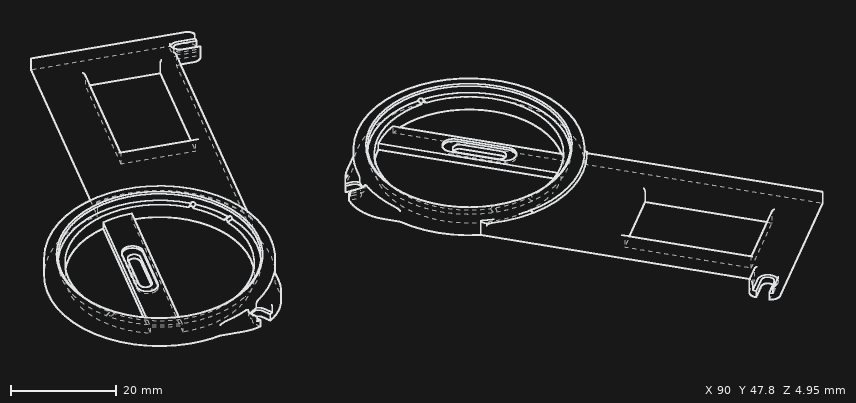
import cadquery as cq
import math

ring_diameter = 44.0
ring_height = 4.95
ring_edge_radius = 1.0
lens_diameter = 38.6
opening_diameter = 36.0
lens_seat_z = 3.1
lens_lead_in = 0.315

seat_rib_radius = 0.45
seat_rib_angles = [120.0, 145.0, 314.0]

overall_length = 90.0
overall_width = 47.8
plate_left = ring_diameter / 2 - overall_length
plate_front = -6.5
plate_back = 20.5
plate_thickness = 3.0
lug_right = 21.15
lug_corner_radius = 10.0
edge_radius = 0.495
ring_root_radius = 0.45

window_length = 24.9
window_width = 14.8
window_x = -47.8
window_y = 9.5

bar_width = 6.0
bar_thickness = 1.5
bar_slot_x = -1.1
bar_slot_y = plate_front + 2.9
bar_slot_length = 10.4
bar_slot_width = 2.5
bar_recess_length = 14.5
bar_recess_width = 4.1
bar_recess_depth = 0.495

tab_width = 6.1
tab_back = overall_width - ring_diameter / 2
tab_corner_radius = 1.8
screw_slot_width = 2.5
screw_head_width = 4.0
screw_seat_z = 1.5
tab_slot_x = -65.0
tab_slot_y = 22.1
lug_slot_distance = 23.5
lug_slot_angle = 37.8
slot_reach = 9.0

mid_wall_diameter = (lens_diameter + ring_diameter) / 2


def box_between(x_min, x_max, y_min, y_max):
    """Block of plate thickness standing on Z = 0 between the given limits."""
    corner = cq.Workplane("XY", origin=(x_min, y_min, 0))
    return corner.box(x_max - x_min, y_max - y_min, plate_thickness, centered=False)


def disc(diameter, z_bottom, z_top):
    """Upright cylinder on the ring axis."""
    return cq.Workplane("XY", origin=(0, 0, z_bottom)).circle(diameter / 2).extrude(z_top - z_bottom)


def open_slot(width, z_bottom, x, y, angle):
    """Cutter with a round end at (x, y), running outwards along the angle."""
    height = plate_thickness - z_bottom
    run = cq.Workplane("XY").box(slot_reach, width, height, centered=(False, True, False))
    end = cq.Workplane("XY").circle(width / 2).extrude(height)
    return run.union(end).rotate((0, 0, 0), (0, 0, 1), angle).translate((x, y, z_bottom))


def cut_screw_slot(plate, x, y, angle):
    """Cut a through slot with a wider seat for the screw head."""
    plate = plate.cut(open_slot(screw_slot_width, 0, x, y, angle))
    return plate.cut(open_slot(screw_head_width, screw_seat_z, x, y, angle))


def make_plate():
    """Plate, tab and lug with window and screw slots, all upper edges rounded."""
    plate = box_between(plate_left, 0, plate_front, plate_back)
    tab = box_between(plate_left, plate_left + tab_width, plate_front, tab_back)
    tab = tab.edges("|Z and >Y").fillet(tab_corner_radius)
    lug = box_between(0, lug_right, 0, plate_back)
    lug = lug.edges("|Z and >X and >Y").fillet(lug_corner_radius)
    plate = plate.union(tab).union(lug)

    window = cq.Workplane("XY").center(window_x, window_y).rect(window_length, window_width)
    plate = plate.cut(window.extrude(plate_thickness))

    lug_slot_x = lug_slot_distance * math.cos(math.radians(lug_slot_angle))
    lug_slot_y = lug_slot_distance * math.sin(math.radians(lug_slot_angle))
    plate = cut_screw_slot(plate, tab_slot_x, tab_slot_y, 90)
    plate = cut_screw_slot(plate, lug_slot_x, lug_slot_y, lug_slot_angle)
    return plate.faces(">Z").edges().fillet(edge_radius)


def make_ring_root():
    """Concave fillet where the ring rises from the plate, on the window side only."""
    inner = ring_diameter / 2 - ring_root_radius
    wall = ring_diameter / 2
    outer = wall + ring_root_radius
    bottom = plate_thickness - edge_radius
    top = plate_thickness + ring_root_radius
    arc_offset = ring_root_radius * (1 - math.sqrt(0.5))
    profile = (
        cq.Workplane("XZ")
        .moveTo(inner, bottom)
        .lineTo(outer, bottom)
        .lineTo(outer, plate_thickness)
        .threePointArc((wall + arc_offset, plate_thickness + arc_offset), (wall, top))
        .lineTo(inner, top)
        .close()
    )
    collar = profile.revolve(360, (0, 0, 0), (0, 1, 0))
    plate_zone = box_between(plate_left, 0, plate_front, plate_back)
    return collar.intersect(plate_zone.translate((0, 0, bottom)))


def make_seat_rib(angle):
    """Radial half-round rib lying on the lens seat and running into the ring wall."""
    rib = cq.Workplane("YZ", origin=(0, 0, lens_seat_z)).circle(seat_rib_radius)
    rib = rib.extrude(mid_wall_diameter / 2).rotate((0, 0, 0), (0, 0, 1), angle)
    return rib.cut(disc(opening_diameter, 0, ring_height))


def make_bar():
    """Cross bar spanning the ring opening, with a slot in a shallow recess."""
    blank = cq.Workplane("XY", origin=(-ring_diameter / 2, plate_front, 0))
    bar = blank.box(ring_diameter, bar_width, bar_thickness, centered=False)
    bar = bar.intersect(disc(mid_wall_diameter, 0, bar_thickness))
    slot_centre = cq.Workplane("XY").center(bar_slot_x, bar_slot_y)
    slot = slot_centre.slot2D(bar_slot_length, bar_slot_width).extrude(bar_thickness)
    recess = slot_centre.slot2D(bar_recess_length, bar_recess_width).extrude(bar_recess_depth)
    return bar.cut(slot).cut(recess.translate((0, 0, bar_thickness - bar_recess_depth)))


plate = make_plate()
ring = disc(ring_diameter, 0, ring_height).faces(">Z").edges().fillet(ring_edge_radius)
body = plate.union(ring).union(make_ring_root())

body = body.cut(disc(opening_diameter, 0, ring_height))
body = body.cut(disc(lens_diameter, lens_seat_z, ring_height))
lead_in = (
    cq.Workplane("XY", origin=(0, 0, ring_height))
    .circle(lens_diameter / 2 + lens_lead_in)
    .extrude(-lens_lead_in, taper=45)
)
body = body.cut(lead_in)

for rib_angle in seat_rib_angles:
    body = body.union(make_seat_rib(rib_angle))

result = body.union(make_bar())